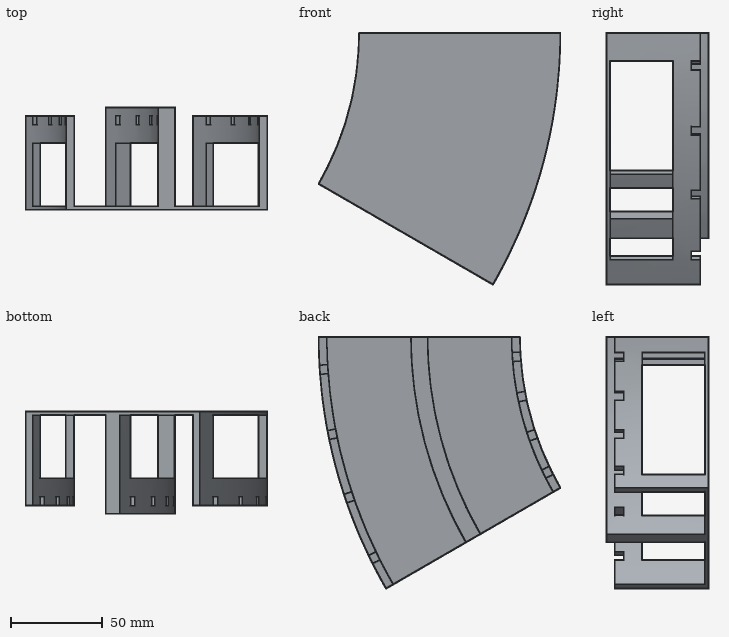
import cadquery as cq
import math

inner_radius = 165.0
outer_radius = 275.0
middle_radius = (inner_radius + outer_radius) / 2
sector_angle = 30.0
floor_thickness = 2.0

wall_thickness = 4.5
middle_wall_thickness = 2 * wall_thickness
middle_wall_height = 56.0
side_wall_height = middle_wall_height - wall_thickness

notch_count = 4
notch_size = 5.0
notch_pitch = sector_angle / notch_count
first_notch_angle = notch_pitch / 2
last_notch_angle = sector_angle - first_notch_angle
notch_floor = side_wall_height - notch_size

band_height = 10.0
window_top = notch_floor - band_height
cut_margin = 6.9


def polar_point(radius, angle, offset=0.0):
    """Point on a ray turned downward by angle, shifted sideways by offset."""
    turn = math.radians(angle)
    x = radius * math.cos(turn) - offset * math.sin(turn)
    z = -radius * math.sin(turn) - offset * math.cos(turn)
    return (x, z)


def curved_block(small_radius, large_radius, height):
    """Ring sector rising from Y = 0."""
    half_angle = sector_angle / 2
    return (
        cq.Workplane("XZ")
        .moveTo(*polar_point(small_radius, 0))
        .lineTo(*polar_point(large_radius, 0))
        .threePointArc(polar_point(large_radius, half_angle), polar_point(large_radius, sector_angle))
        .lineTo(*polar_point(small_radius, sector_angle))
        .threePointArc(polar_point(small_radius, half_angle), polar_point(small_radius, 0))
        .close()
        .extrude(-height)
    )


def radial_prism(first_angle, last_angle, bottom, top):
    """Cutter through all walls, with sides half a notch outside two rays."""
    near = inner_radius - cut_margin
    far = outer_radius + cut_margin
    far_middle = outer_radius + 2 * cut_margin
    half_notch = notch_size / 2
    middle_angle = (first_angle + last_angle) / 2
    return (
        cq.Workplane("XZ", origin=(0, bottom, 0))
        .polyline([
            polar_point(near, first_angle, -half_notch),
            polar_point(far, first_angle, -half_notch),
            polar_point(far_middle, middle_angle),
            polar_point(far, last_angle, half_notch),
            polar_point(near, last_angle, half_notch),
        ])
        .close()
        .extrude(bottom - top)
    )


half_middle = middle_wall_thickness / 2
body = curved_block(inner_radius, outer_radius, floor_thickness)
body = body.union(curved_block(inner_radius, inner_radius + wall_thickness, side_wall_height))
body = body.union(curved_block(middle_radius - half_middle, middle_radius + half_middle, middle_wall_height))
body = body.union(curved_block(outer_radius - wall_thickness, outer_radius, side_wall_height))

body = body.cut(radial_prism(first_notch_angle, last_notch_angle, floor_thickness, window_top))

for index in range(notch_count):
    angle = first_notch_angle + index * notch_pitch
    body = body.cut(radial_prism(angle, angle, notch_floor, side_wall_height))

result = body